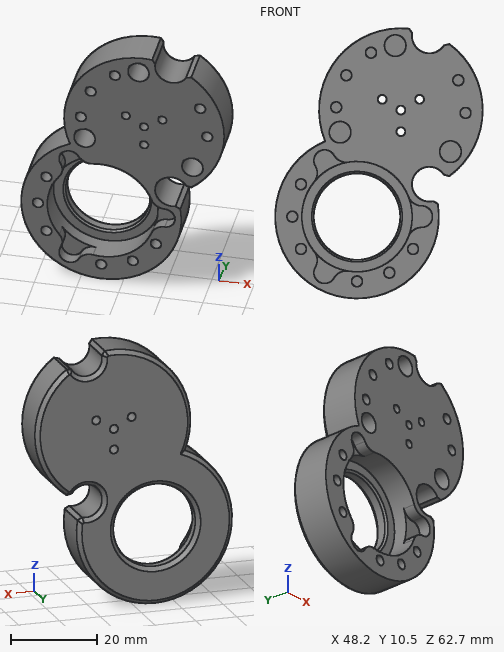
import cadquery as cq
import math

thickness = 10.5
disc_radius = 19.0
ring_center = (0.0, 0.0)
disc_center = (10.17, 24.70)
back_chamfer = 1.0

notch_radius = 4.0
notch_center_radius = 18.4
notch_angle = 69.0
notch_corner_chamfer = 1.0

bore_diameter = 20.0
bore_chamfer = 0.5
counterbore_diameter = 25.6
counterbore_depth = 6.8

lobe_diameter = 5.0
lobe_depth = 3.2
lobe_blend_radius = 3.27
lobe_angles = (0, 120, 240)

hole_circle_radius = 15.0
blind_depth = 7.0
small_hole_diameter = 2.5
ring_hole_angles = (150, 180, 210, 270, 300, 330)
disc_hole_angles = (-2.5, 27.5, 117.5, 147.5, 177.5)
large_hole_diameter = 5.0
large_hole_angles = (95, 200, 320)
through_hole_diameter = 2.0
through_hole_circle_radius = 5.0
through_hole_angles = (30, 150, 270)


def polar(center, radius, angle):
    """Point (x, z) at a radius and an angle in degrees around a centre."""
    turn = math.radians(angle)
    return center[0] + radius * math.cos(turn), center[1] + radius * math.sin(turn)


def cylinders(points, diameter, depth):
    """Cylinders that run from the front face towards +Y."""
    front_plane = cq.Workplane("XZ")
    return front_plane.pushPoints(points).circle(diameter / 2).extrude(-depth)


def pattern(center, radius, angles):
    """Points at several angles on one circle."""
    return [polar(center, radius, angle) for angle in angles]


def circle_crossing(center_a, radius_a, center_b, radius_b, side):
    """Crossing of two circles, left (+1) or right (-1) of the line from centre a to centre b."""
    run = center_b[0] - center_a[0]
    rise = center_b[1] - center_a[1]
    distance = math.hypot(run, rise)
    along = (distance**2 + radius_a**2 - radius_b**2) / (2 * distance)
    swing = math.degrees(math.acos(along / radius_a))
    return polar(center_a, radius_a, math.degrees(math.atan2(rise, run)) + side * swing)


def angle_of(point, center):
    """Direction in degrees from a centre to a point."""
    return math.degrees(math.atan2(point[1] - center[1], point[0] - center[0]))


def slide(point, center, chord):
    """Move a point along the circle around a centre by a signed chord, counterclockwise if positive."""
    radius = math.dist(point, center)
    turn = math.degrees(2 * math.asin(chord / (2 * radius)))
    return polar(center, radius, angle_of(point, center) + turn)


def arc_to(outline, start, end, center, direction):
    """Add an arc around a centre, counterclockwise (+1) or clockwise (-1)."""
    radius = math.dist(start, center)
    sweep = direction * (angle_of(end, center) - angle_of(start, center)) % 360
    middle = polar(center, radius, angle_of(start, center) + direction * sweep / 2)
    return outline.threePointArc(middle, end)


def make_plate():
    """Two discs with notches and cut notch corners, chamfered all round on the back."""
    lower_notch = polar(disc_center, notch_center_radius, -notch_angle)
    upper_notch = polar(disc_center, notch_center_radius, notch_angle)
    junction = circle_crossing(ring_center, disc_radius, disc_center, disc_radius, 1)

    notch_corners = (
        (circle_crossing(ring_center, disc_radius, lower_notch, notch_radius, -1), ring_center, lower_notch),
        (circle_crossing(disc_center, disc_radius, lower_notch, notch_radius, 1), disc_center, lower_notch),
        (circle_crossing(disc_center, disc_radius, upper_notch, notch_radius, -1), disc_center, upper_notch),
        (circle_crossing(disc_center, disc_radius, upper_notch, notch_radius, 1), disc_center, upper_notch),
    )

    outline = cq.Workplane("XZ").moveTo(*junction)
    position = junction
    for index, (corner, rim_center, notch_center) in enumerate(notch_corners):
        entering_notch = index % 2 == 0
        setback = -notch_corner_chamfer if entering_notch else notch_corner_chamfer
        rim_point = slide(corner, rim_center, setback)
        notch_point = slide(corner, notch_center, setback)
        if entering_notch:
            outline = arc_to(outline, position, rim_point, rim_center, 1).lineTo(*notch_point)
            position = notch_point
        else:
            outline = arc_to(outline, position, notch_point, notch_center, -1).lineTo(*rim_point)
            position = rim_point
    outline = arc_to(outline, position, junction, disc_center, 1).close()
    return outline.extrude(-thickness).faces(">Y").edges().chamfer(back_chamfer)


def bevel(face_y, size, inward):
    """Cone that widens the narrow bore where it meets the face at face_y."""
    bore_radius = bore_diameter / 2
    axis = cq.Vector(0, inward, 0)
    return cq.Solid.makeCone(bore_radius + size, bore_radius, size, cq.Vector(0, face_y, 0), axis)


def make_bore():
    """Through bore with a counterbore from the front and a bevel at both ends of the narrow part."""
    bore = cylinders([ring_center], bore_diameter, thickness)
    counterbore = cylinders([ring_center], counterbore_diameter, counterbore_depth)
    front_bevel = bevel(counterbore_depth, bore_chamfer, 1)
    back_bevel = bevel(thickness, back_chamfer, -1)
    return bore.union(counterbore).union(front_bevel).union(back_bevel)


def make_lobes():
    """Pocket with one lobe per angle, each blended into the counterbore wall."""
    pocket = cylinders([ring_center], counterbore_diameter, lobe_depth)
    for angle in lobe_angles:
        middle = cylinders([ring_center], counterbore_diameter, lobe_depth)
        lobe = cylinders([(hole_circle_radius, 0)], lobe_diameter, lobe_depth)
        creases = cq.selectors.BoxSelector(
            (0, 0, -lobe_diameter),
            (hole_circle_radius, lobe_depth, lobe_diameter),
        )
        blended = middle.union(lobe).edges("|Y").edges(creases).fillet(lobe_blend_radius)
        pocket = pocket.union(blended.rotate((0, 0, 0), (0, -1, 0), angle))
    return pocket


def make_holes():
    """Blind holes in the ring and upper disc, and the through holes in the middle of the disc."""
    ring_points = pattern(ring_center, hole_circle_radius, ring_hole_angles)
    disc_points = pattern(disc_center, hole_circle_radius, disc_hole_angles)
    large_points = pattern(disc_center, hole_circle_radius, large_hole_angles)
    through_points = pattern(disc_center, through_hole_circle_radius, through_hole_angles)
    small = cylinders(ring_points + disc_points, small_hole_diameter, blind_depth)
    large = cylinders(large_points, large_hole_diameter, blind_depth)
    through = cylinders(through_points + [disc_center], through_hole_diameter, thickness)
    return small.union(large).union(through)


result = make_plate().cut(make_bore()).cut(make_lobes()).cut(make_holes())